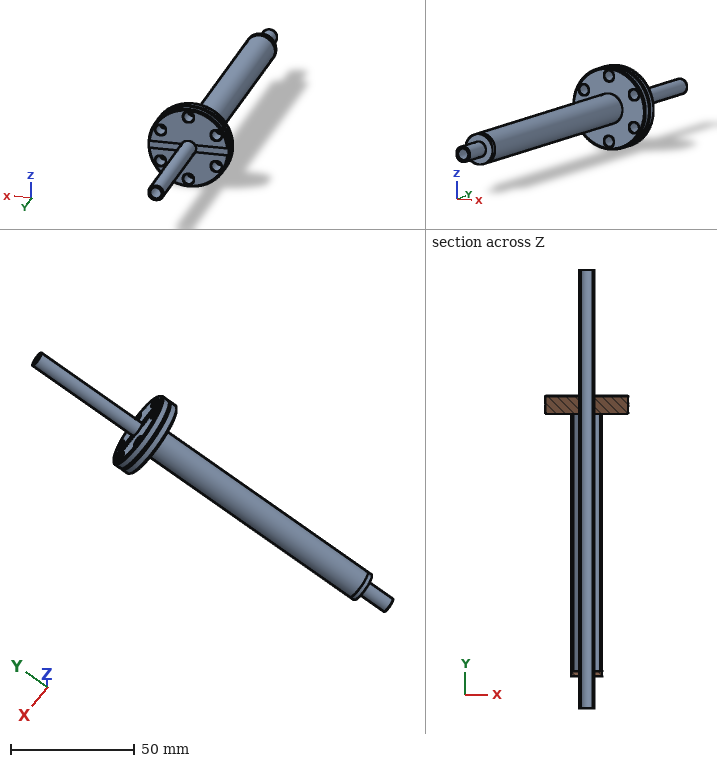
import cadquery as cq

TUBE_LENGTH = 177.8
TUBE_OUTER_DIAMETER = 6.4
TUBE_BORE_DIAMETER = 4.8
TUBE_FRONT_Y = -TUBE_LENGTH / 2
TUBE_REAR_Y = TUBE_LENGTH / 2

FLANGE_DIAMETER = 33.8
FLANGE_THICKNESS = 7.6
FLANGE_CHAMFER = 0.5
TUBE_REAR_OVERHANG = 50.9
FLANGE_REAR_Y = TUBE_REAR_Y - TUBE_REAR_OVERHANG
FLANGE_FRONT_Y = FLANGE_REAR_Y - FLANGE_THICKNESS

BOLT_HOLE_COUNT = 6
BOLT_HOLE_DIAMETER = 4.5
BOLT_HOLE_CHAMFER = 0.2
BOLT_CIRCLE_DIAMETER = 27.0
FIRST_BOLT_ANGLE = 90.0

RIM_GROOVE_WIDTH = 0.9
RIM_GROOVE_DEPTH = 0.09

LEAK_GROOVE_WIDTH = 3.0
LEAK_GROOVE_DEPTH = 0.4

SLEEVE_OUTER_DIAMETER = 12.6
SLEEVE_BORE_DIAMETER = 10.8
CAP_THICKNESS = 2.1
TUBE_FRONT_OVERHANG = 13.0
CAP_FRONT_Y = TUBE_FRONT_Y + TUBE_FRONT_OVERHANG
SLEEVE_FRONT_Y = CAP_FRONT_Y + CAP_THICKNESS
SLEEVE_LENGTH = FLANGE_FRONT_Y - SLEEVE_FRONT_Y


def plane_at(y):
    """Plane across the tube axis, with its normal along +Y and its local y along +Z."""
    return cq.Plane(origin=(0, y, 0), xDir=(-1, 0, 0), normal=(0, 1, 0))


def make_ring(front_y, length, outer_diameter, bore_diameter):
    """Hollow cylinder about the tube axis, starting at front_y and running toward +Y."""
    return (
        cq.Workplane(plane_at(front_y))
        .circle(outer_diameter / 2)
        .circle(bore_diameter / 2)
        .extrude(length)
    )


def make_rim_groove():
    """Narrow ring to cut from the middle of the flange rim."""
    groove_front_y = FLANGE_FRONT_Y + (FLANGE_THICKNESS - RIM_GROOVE_WIDTH) / 2
    groove_floor_diameter = FLANGE_DIAMETER - 2 * RIM_GROOVE_DEPTH
    return make_ring(groove_front_y, RIM_GROOVE_WIDTH, FLANGE_DIAMETER, groove_floor_diameter)


def make_leak_check_groove():
    """Shallow bar to cut from the rear face along X, from rim to rim."""
    return (
        cq.Workplane(plane_at(FLANGE_REAR_Y))
        .rect(FLANGE_DIAMETER, LEAK_GROOVE_WIDTH)
        .extrude(-LEAK_GROOVE_DEPTH)
    )


def make_bolt_holes():
    """Cylinders to cut through the flange on its bolt circle."""
    return (
        cq.Workplane(plane_at(FLANGE_FRONT_Y))
        .polarArray(BOLT_CIRCLE_DIAMETER / 2, FIRST_BOLT_ANGLE, 360, BOLT_HOLE_COUNT)
        .circle(BOLT_HOLE_DIAMETER / 2)
        .extrude(FLANGE_THICKNESS)
    )


def make_flange():
    """Chamfered disc with rim and leak-check grooves, bolt holes and a bore that fits the tube."""
    disc = (
        cq.Workplane(plane_at(FLANGE_FRONT_Y))
        .circle(FLANGE_DIAMETER / 2)
        .extrude(FLANGE_THICKNESS)
        .faces("<Y or >Y")
        .edges()
        .chamfer(FLANGE_CHAMFER)
    )
    tube_hole = (
        cq.Workplane(plane_at(FLANGE_FRONT_Y))
        .circle(TUBE_OUTER_DIAMETER / 2)
        .extrude(FLANGE_THICKNESS)
    )
    drilled = disc.cut(tube_hole).cut(make_bolt_holes())
    bolt_hole_rims = drilled.faces("<Y or >Y").edges(cq.selectors.RadiusNthSelector(0))
    return bolt_hole_rims.chamfer(BOLT_HOLE_CHAMFER).cut(make_rim_groove()).cut(make_leak_check_groove())


tube = make_ring(TUBE_FRONT_Y, TUBE_LENGTH, TUBE_OUTER_DIAMETER, TUBE_BORE_DIAMETER)
flange = make_flange()
sleeve = make_ring(SLEEVE_FRONT_Y, SLEEVE_LENGTH, SLEEVE_OUTER_DIAMETER, SLEEVE_BORE_DIAMETER)
end_cap = make_ring(CAP_FRONT_Y, CAP_THICKNESS, SLEEVE_OUTER_DIAMETER, TUBE_OUTER_DIAMETER)

result = cq.Compound.makeCompound([tube.val(), flange.val(), sleeve.val(), end_cap.val()])